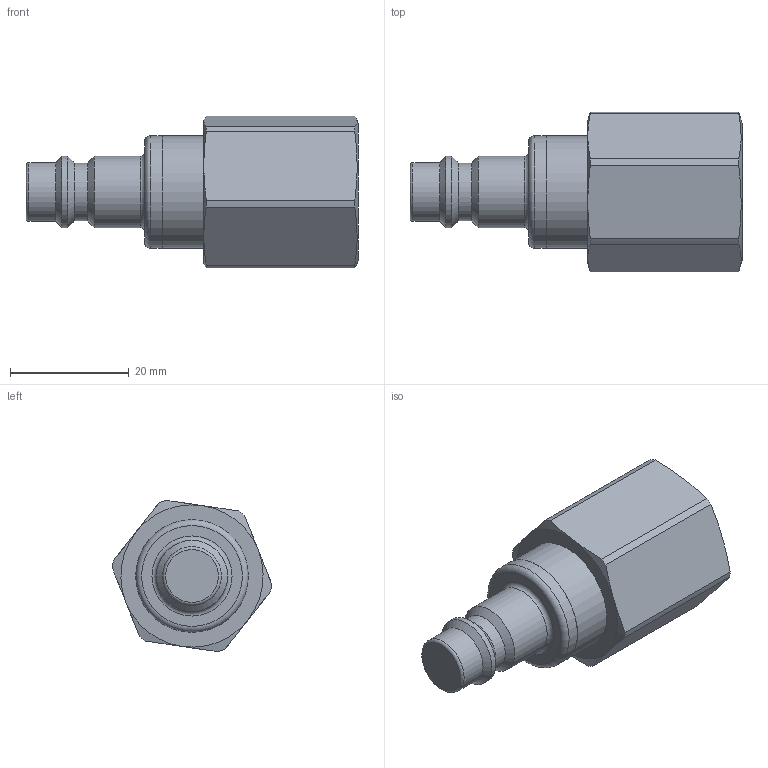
import cadquery as cq
import math

total_length = 56.0
nose_end = 5.0
collar_end = 7.0
shoulder_start = 11.5
flange_start = 20.0
flange_end = 23.0
hex_start = 30.0

nose_radius = 9.9 / 2
groove_radius = 9.75 / 2
stem_radius = 12.0 / 2
flange_radius = 19.0 / 2
neck_radius = 18.95 / 2

nose_round = 0.5
stem_fillet = 0.75
flange_round = 1.0

across_flats = 24.0
corner_radius = 27.05 / 2
hex_turn = 8.32
chamfer_angle = 15.0
front_face_radius = across_flats / 2
rear_face_radius = 11.5


def quarter_arc_middle(center_x, center_r, radius, side_x, side_r):
    """Midpoint of a quarter arc lying towards (side_x, side_r) from its center."""
    reach = radius * math.sqrt(0.5)
    return center_x + side_x * reach, center_r + side_r * reach


def revolve_about_x(profile):
    """Full turn of a half profile about the X axis."""
    return profile.revolve(360, (0, 0, 0), (1, 0, 0))


def make_plug():
    """Turned plug: nose, locking collar, groove, stem, flange and neck."""
    collar_start = nose_end + stem_radius - nose_radius
    groove_start = collar_end + stem_radius - groove_radius
    groove_end = shoulder_start - (stem_radius - groove_radius)
    nose_middle = quarter_arc_middle(nose_round, nose_radius - nose_round, nose_round, -1, 1)
    fillet_start = flange_start - stem_fillet
    fillet_top = stem_radius + stem_fillet
    fillet_middle = quarter_arc_middle(fillet_start, fillet_top, stem_fillet, 1, -1)
    flange_round_end = flange_start + flange_round
    flange_face_radius = flange_radius - flange_round
    flange_middle = quarter_arc_middle(flange_round_end, flange_face_radius, flange_round, -1, 1)
    profile = (
        cq.Workplane("XY")
        .moveTo(0, 0)
        .lineTo(0, nose_radius - nose_round)
        .threePointArc(nose_middle, (nose_round, nose_radius))
        .lineTo(nose_end, nose_radius)
        .lineTo(collar_start, stem_radius)
        .lineTo(collar_end, stem_radius)
        .lineTo(groove_start, groove_radius)
        .lineTo(groove_end, groove_radius)
        .lineTo(shoulder_start, stem_radius)
        .lineTo(fillet_start, stem_radius)
        .threePointArc(fillet_middle, (flange_start, fillet_top))
        .lineTo(flange_start, flange_face_radius)
        .threePointArc(flange_middle, (flange_round_end, flange_radius))
        .lineTo(flange_end, flange_radius)
        .lineTo(flange_end, neck_radius)
        .lineTo(hex_start, neck_radius)
        .lineTo(hex_start, 0)
        .close()
    )
    return revolve_about_x(profile)


def make_turned_blank():
    """Turned blank that blunts the corners of the hexagon and chamfers its ends."""
    slope = math.tan(math.radians(chamfer_angle))
    front_depth = (corner_radius - front_face_radius) * slope
    rear_depth = (corner_radius - rear_face_radius) * slope
    profile = (
        cq.Workplane("XY")
        .moveTo(hex_start, 0)
        .lineTo(hex_start, front_face_radius)
        .lineTo(hex_start + front_depth, corner_radius)
        .lineTo(total_length - rear_depth, corner_radius)
        .lineTo(total_length, rear_face_radius)
        .lineTo(total_length, 0)
        .close()
    )
    return revolve_about_x(profile)


def make_hex_body():
    """Hexagonal body: a sharp hexagonal prism trimmed by the turned blank."""
    across_corners = across_flats / math.cos(math.radians(30))
    prism = (
        cq.Workplane("YZ", origin=(hex_start, 0, 0))
        .polygon(6, across_corners)
        .extrude(total_length - hex_start)
        .rotate((0, 0, 0), (1, 0, 0), hex_turn)
    )
    return prism.intersect(make_turned_blank())


result = make_plug().union(make_hex_body())